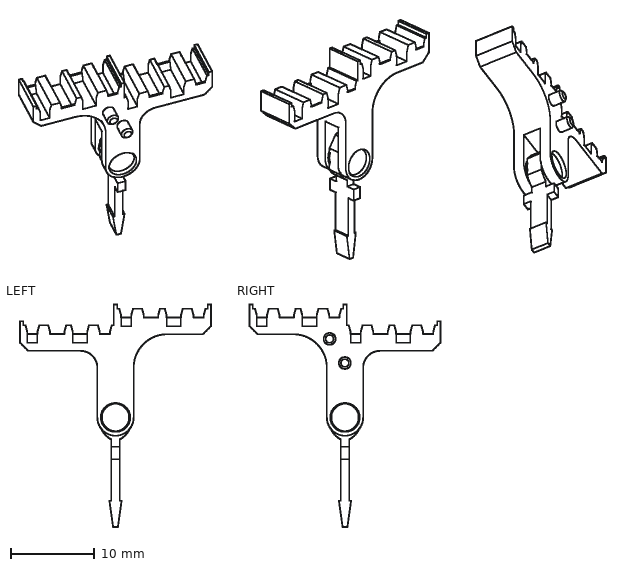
import cadquery as cq
import math


BODY_WIDTH = 5.0
ARM_RADIUS = 2.2
FILLET_START_Z = 6.0
FORK_SLOT_WIDTH = 2.25
FORK_SLOT_TOP_Z = 5.0
HINGE_HOLE_RADIUS = 1.75

OVERALL_DEPTH = 23.0
LIP_THICKNESS = 0.43
COMB_LENGTH = (OVERALL_DEPTH + LIP_THICKNESS) / 2
COMB_CENTRE_Y = (OVERALL_DEPTH - COMB_LENGTH) / 2
UPPER_COMB_BASE_Z = 10.0
LOWER_COMB_BASE_Z = 8.0
FLOOR_HEIGHT = 2.05
POCKET_HEIGHT = 1.0
TOOTH_HEIGHT = 3.1
LIP_HEIGHT = 3.6
END_CHAMFER = 1.0
NARROW_SLOT = (4.36, 1.2, 1.64)
WIDE_SLOT = (1.37, 1.7, 2.14)
FLARE_HEIGHT = 2.3
END_WALL_THICKNESS = 0.2
END_WALL_FOOT = 0.5

PEG_RADIUS = 0.725
PEG_LENGTH = 1.75
PEG_CHAMFER = 0.25
PEG_CENTRES = [(-0.02, 6.55), (-1.85, 9.45)]

PIN_RADIUS = 1.65
HEAD_WIDTH = 1.95
HEAD_HALF_DEPTH = PIN_RADIUS
HEAD_SIDE_TOP_Z = 1.3
HEAD_SIDE_BOTTOM_Z = -1.55
HEAD_TOP_Z = 3.0
HEAD_CROWN_Z = 2.76
HEAD_CROWN_HALF_DEPTH = 0.67
HEAD_NECK_Z = -2.65
HEAD_LOWER_ROUND = 3.0
PIN_RECESS = 0.5
PIN_LENGTH = (BODY_WIDTH - HEAD_WIDTH) / 2 - PIN_RECESS
STEM_WIDTH = 2.25
STEM_THICKNESS = 1.05
CROSSBAR_WIDTH = 4.2
CROSSBAR_TOP_Z = -3.5
CROSSBAR_BOTTOM_Z = -5.0
BARB_TOP_Z = -10.0
BARB_THICKNESS = 1.5
TIP_Z = -13.2
TIP_THICKNESS = 0.6


def block(width, y_range, z_range):
    """Box centred on X = 0, spanning the given Y and Z ranges."""
    depth = y_range[1] - y_range[0]
    height = z_range[1] - z_range[0]
    return cq.Workplane("XY").box(width, depth, height, centered=(True, False, False)).translate(
        (0, y_range[0], z_range[0])
    )


def cross_section(x=0.0):
    """Sketch plane facing +X, with Y and Z as its own axes."""
    return cq.Workplane("YZ", origin=(x, 0, 0))


def comb_slots():
    """Middle, floor width and top width of each slot, from the +Y end to the -Y end."""
    for direction, (distance, floor, top) in (
        (1, NARROW_SLOT), (1, WIDE_SLOT), (-1, WIDE_SLOT), (-1, NARROW_SLOT)
    ):
        yield direction * distance, floor, top


def make_holder_blank():
    """Arm with a rounded lower end that curves out into the two comb bases."""
    end = OVERALL_DEPTH / 2
    upper_radius = UPPER_COMB_BASE_Z - FILLET_START_Z
    lower_radius = LOWER_COMB_BASE_Z - FILLET_START_Z
    diagonal = 1 - math.sqrt(0.5)
    inner_y = COMB_LENGTH - end
    lower_top = LOWER_COMB_BASE_Z + LIP_HEIGHT
    upper_top = UPPER_COMB_BASE_Z + LIP_HEIGHT
    return (
        cross_section()
        .moveTo(-ARM_RADIUS, 0)
        .threePointArc((0, -ARM_RADIUS), (ARM_RADIUS, 0))
        .lineTo(ARM_RADIUS, FILLET_START_Z)
        .threePointArc(
            (ARM_RADIUS + lower_radius * diagonal, LOWER_COMB_BASE_Z - lower_radius * diagonal),
            (ARM_RADIUS + lower_radius, LOWER_COMB_BASE_Z),
        )
        .lineTo(end - END_CHAMFER, LOWER_COMB_BASE_Z)
        .lineTo(end, LOWER_COMB_BASE_Z + END_CHAMFER)
        .lineTo(end, lower_top)
        .lineTo(inner_y, lower_top)
        .lineTo(inner_y, upper_top)
        .lineTo(-end, upper_top)
        .lineTo(-end, UPPER_COMB_BASE_Z + END_CHAMFER)
        .lineTo(END_CHAMFER - end, UPPER_COMB_BASE_Z)
        .lineTo(-ARM_RADIUS - upper_radius, UPPER_COMB_BASE_Z)
        .threePointArc(
            (-ARM_RADIUS - upper_radius * diagonal, UPPER_COMB_BASE_Z - upper_radius * diagonal),
            (-ARM_RADIUS, FILLET_START_Z),
        )
        .close()
        .extrude(BODY_WIDTH / 2, both=True)
    )


def slot_cutter(middle, floor_width, top_width):
    """Slot between two teeth, with upright walls that flare toward the tooth tops."""
    half_floor = floor_width / 2
    half_top = top_width / 2
    return (
        cross_section()
        .polyline([
            (middle - half_floor, FLOOR_HEIGHT),
            (middle + half_floor, FLOOR_HEIGHT),
            (middle + half_floor, FLARE_HEIGHT),
            (middle + half_top, TOOTH_HEIGHT),
            (middle - half_top, TOOTH_HEIGHT),
            (middle - half_floor, FLARE_HEIGHT),
        ])
        .close()
        .extrude(BODY_WIDTH / 2, both=True)
    )


def pocket_cutter(middle, width, open_side):
    """Pocket below a slot floor, open on one X side and closed by a sloping wall on the other."""
    open_x = open_side * BODY_WIDTH / 2
    return (
        cq.Workplane("XZ", origin=(0, middle, 0))
        .polyline([
            (open_x, POCKET_HEIGHT),
            (open_x, FLOOR_HEIGHT),
            (open_side * END_WALL_THICKNESS - open_x, FLOOR_HEIGHT),
            (open_side * END_WALL_FOOT - open_x, POCKET_HEIGHT),
        ])
        .close()
        .extrude(width / 2, both=True)
    )


def comb_cutter():
    """All that is removed from one comb, with the comb's middle at Y = 0 and its underside at Z = 0."""
    half_inside = COMB_LENGTH / 2 - LIP_THICKNESS
    cutter = block(BODY_WIDTH, (-half_inside, half_inside), (TOOTH_HEIGHT, LIP_HEIGHT))
    open_side = -1
    for middle, floor_width, top_width in comb_slots():
        cutter = cutter.union(slot_cutter(middle, floor_width, top_width))
        cutter = cutter.union(pocket_cutter(middle, floor_width, open_side))
        open_side = -open_side
    return cutter


def make_peg(y, z):
    """Locating peg on the +X side with a chamfered end."""
    return (
        cross_section(BODY_WIDTH / 2)
        .center(y, z)
        .circle(PEG_RADIUS)
        .extrude(PEG_LENGTH)
        .faces(">X")
        .chamfer(PEG_CHAMFER)
    )


def make_holder():
    """Forked arm with the two combs and the pegs."""
    holder = make_holder_blank()
    cutter = comb_cutter()
    holder = holder.cut(cutter.translate((0, -COMB_CENTRE_Y, UPPER_COMB_BASE_Z)))
    holder = holder.cut(cutter.translate((0, COMB_CENTRE_Y, LOWER_COMB_BASE_Z)))

    wall_y = LIP_THICKNESS / 2
    holder = holder.cut(block(
        BODY_WIDTH,
        (wall_y, COMB_CENTRE_Y),
        (LOWER_COMB_BASE_Z + TOOTH_HEIGHT, UPPER_COMB_BASE_Z + LIP_HEIGHT),
    ))

    holder = holder.cut(block(FORK_SLOT_WIDTH, (-ARM_RADIUS, ARM_RADIUS), (-ARM_RADIUS, FORK_SLOT_TOP_Z)))
    holder = holder.cut(cross_section().circle(HINGE_HOLE_RADIUS).extrude(BODY_WIDTH / 2, both=True))
    for y, z in PEG_CENTRES:
        holder = holder.union(make_peg(y, z))
    return holder


def make_lever():
    """Lever with a hinge head, cross pin, crossbar and barbed stem."""
    half_stem = STEM_THICKNESS / 2
    head = (
        cross_section()
        .moveTo(-half_stem, HEAD_NECK_Z)
        .radiusArc((-HEAD_HALF_DEPTH, HEAD_SIDE_BOTTOM_Z), HEAD_LOWER_ROUND)
        .lineTo(-HEAD_HALF_DEPTH, HEAD_SIDE_TOP_Z)
        .lineTo(-HEAD_CROWN_HALF_DEPTH, HEAD_CROWN_Z)
        .threePointArc((0, HEAD_TOP_Z), (HEAD_CROWN_HALF_DEPTH, HEAD_CROWN_Z))
        .lineTo(HEAD_HALF_DEPTH, HEAD_SIDE_TOP_Z)
        .lineTo(HEAD_HALF_DEPTH, HEAD_SIDE_BOTTOM_Z)
        .radiusArc((half_stem, HEAD_NECK_Z), HEAD_LOWER_ROUND)
        .close()
        .extrude(HEAD_WIDTH / 2, both=True)
    )
    stem_depth = (-half_stem, half_stem)
    neck = block(HEAD_WIDTH, stem_depth, (CROSSBAR_TOP_Z, HEAD_NECK_Z))
    crossbar = block(CROSSBAR_WIDTH, stem_depth, (CROSSBAR_BOTTOM_Z, CROSSBAR_TOP_Z))
    stem = block(STEM_WIDTH, stem_depth, (BARB_TOP_Z, CROSSBAR_BOTTOM_Z))
    barb = (
        cross_section()
        .polyline([
            (-BARB_THICKNESS / 2, BARB_TOP_Z),
            (BARB_THICKNESS / 2, BARB_TOP_Z),
            (TIP_THICKNESS / 2, TIP_Z),
            (-TIP_THICKNESS / 2, TIP_Z),
        ])
        .close()
        .extrude(STEM_WIDTH / 2, both=True)
    )
    lever = head.union(neck).union(crossbar).union(stem).union(barb)
    for side in (-1, 1):
        pin_end = cross_section(side * HEAD_WIDTH / 2).circle(PIN_RADIUS).extrude(side * PIN_LENGTH)
        lever = lever.union(pin_end)
    return lever


holder = make_holder()
lever = make_lever()
result = cq.Compound.makeCompound([holder.val(), lever.val()])